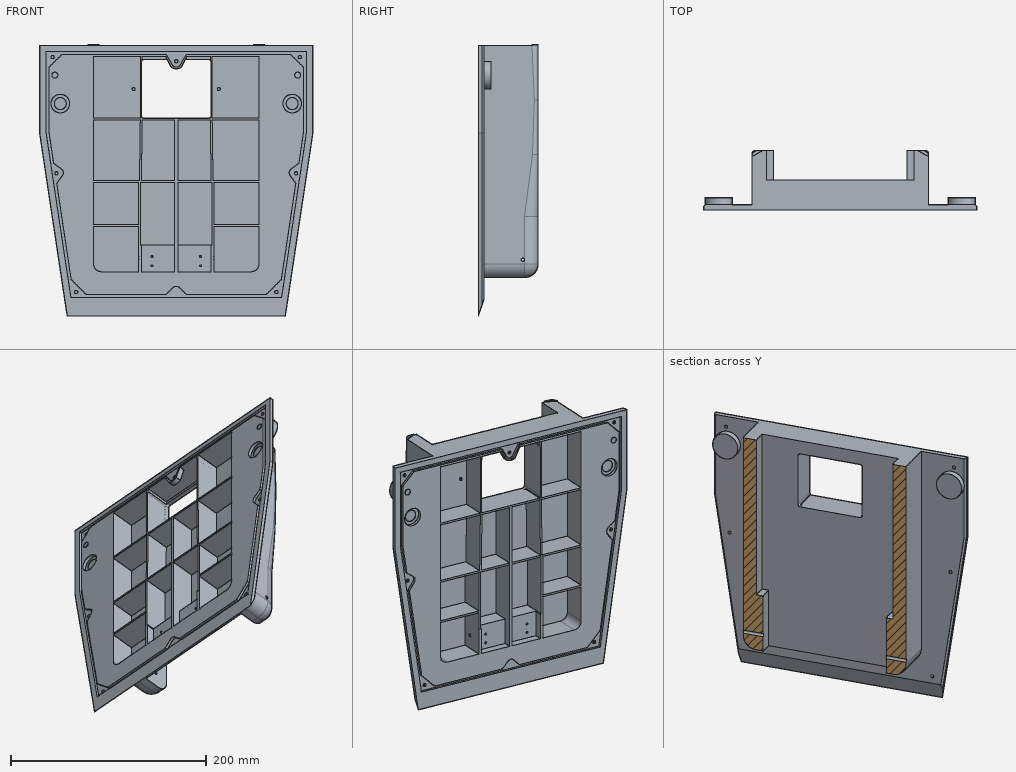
import cadquery as cq
import math


PLATE_WIDTH = 280
PLATE_HEIGHT = 277.2
PLATE_BOTTOM_WIDTH = 223.5
PLATE_THICKNESS = 6.0
PLATE_KNEE_Z = -89.5
SIDE_SLOPE = (PLATE_WIDTH - PLATE_BOTTOM_WIDTH) / 2 / (PLATE_HEIGHT + PLATE_KNEE_Z)
SIDE_CHAMFER = 2.0
BOTTOM_BEVEL_HEIGHT = 17.0

GROOVE_DEPTH = 2.8
GROOVE_WIDTH = 3.0
GROOVE_INSET = 6.7
GROOVE_TOP_Z = -6.2
GROOVE_BOTTOM_Z = -258.2

PANEL_TOP_Z = GROOVE_TOP_Z - GROOVE_WIDTH
PANEL_BOTTOM_Z = GROOVE_BOTTOM_Z + GROOVE_WIDTH
PANEL_INSET = GROOVE_INSET + GROOVE_WIDTH
TOP_CORNER_CUT = 13.2
BOTTOM_CORNER_CUT = 15.5

BAY_MOUTH_WIDTH = 20.7
BAY_TIP_WIDTH = 7.3
BAY_TIP_RISE = 1.7
BAY_LENGTH = 8.5
TOP_BAY_LENGTH = 13.2
TOP_BAY_WALL = 1.7
SIDE_BAY_Z = -131.0

BODY_WIDTH = 181.2
BODY_DEPTH = 61.3
BODY_BOTTOM_Z = -237.7
BODY_CORNER_RADIUS = 14
WIDE_ARM_TOP_Z = -175.0
NUB_HEIGHT = 0.8
NUB_WIDTH = 11.5
NUB_DEPTH = 6.5
ARM_ROUNDING = [(NUB_HEIGHT, 6.5), (-56, 4.0), (-112, 6.0), (WIDE_ARM_TOP_Z, BODY_CORNER_RADIUS)]
RECESS_FLOOR_Y = 31.0
UPPER_RECESS_WIDTH = 151.2
LOWER_RECESS_WIDTH = 136.5

POCKET_WALL = 6.0
POCKET_WIDTH = BODY_WIDTH - 2 * POCKET_WALL
POCKET_TOP_Z = -11.5
POCKET_BOTTOM_Z = BODY_BOTTOM_Z + POCKET_WALL
POCKET_FLOOR_Y = 26.5
POCKET_CORNER_RADIUS = BODY_CORNER_RADIUS - POCKET_WALL

RIB = 2.0
CENTER_RIB = 3.0
SHELF_Z = -74.5
MIDDLE_RIB_Z = -138.5
SIDE_RIB_Z = -183.7
UPPER_RIB_X = 35.8
MIDDLE_RIB_X = 36.7
LOWER_RIB_X = 37.5

BLOCK_TOP_Z = -204.5
BLOCK_SETBACK = 8.7
BLOCK_CHEEK_X = 35.5

WINDOW_WIDTH = 71.0
WINDOW_TOP_Z = -14.5
WINDOW_RADIUS = 2.5

BOSS_DIAMETER = 28
BOSS_BACK_Y = 13.0
BOSS_X, BOSS_Z = 124.3, -30.5
DIMPLE_DIAMETER = 6.2
DIMPLE_DEPTH = 0.5
SEAT_X, SEAT_Z = 118.7, -59.5
SEAT_DIAMETER = 19.0
SEAT_DEPTH = 3.5
SEAT_CENTER_DIAMETER = 12.3
SEAT_CENTER_DEPTH = 0.5
SCREW_DIAMETER = 3.5
SCREW_DEPTH = 2.2
BLOCK_HOLE_DIAMETER = 2.0
BLOCK_HOLE_DEPTH = 5.5
BLOCK_HOLE_X = 25.0
BLOCK_HOLE_LEVELS = (-216.2, -225.7)
SMALL_HOLE_DIAMETER = 3.0
CELL_HOLE_X, CELL_HOLE_Z = 43.7, -44.8
CELL_HOLE_DEPTH = 1.5
RIB_HOLE_Y, RIB_HOLE_Z = 18.0, -217.5
RIB_HOLE_DEPTH = 2.8
CROSS_HOLE_Y, CROSS_HOLE_Z = 45.5, -219.5
SCREW_PLACES = [(126.5, -12.0), (102.5, -252.5), (122.5, SIDE_BAY_Z), (0, -16.2)]


def prism(points, front, back):
    """Closed XZ outline extruded from Y = front to Y = back."""
    return cq.Workplane("XZ", origin=(0, front, 0)).polyline(points).close().extrude(front - back)


def block(left, right, bottom, top, front, back):
    """Box given by its limits along X, Z and Y."""
    return prism([(left, bottom), (right, bottom), (right, top), (left, top)], front, back)


def pin(x, z, diameter, front, back):
    """Cylinder along Y."""
    return cq.Workplane("XZ", origin=(x, front, z)).circle(diameter / 2).extrude(front - back)


def both_sides(solid):
    """The solid together with its mirror image across X = 0."""
    return solid.union(solid.mirror("YZ"))


def half_width(z):
    """Half the plate width at a level."""
    return PLATE_WIDTH / 2 - SIDE_SLOPE * max(0, PLATE_KNEE_Z - z)


def symmetric(right_side):
    """Complete an outline from its right-hand points."""
    return right_side + [(-x, z) for x, z in reversed(right_side)]


def plate_outline(inset, top, bottom):
    """Plate shape between two levels, with its sides moved inward."""
    levels = (top, PLATE_KNEE_Z, bottom)
    return symmetric([(half_width(z) - inset, z) for z in levels])


def make_plate():
    chamfer_start = PLATE_THICKNESS - SIDE_CHAMFER
    rim = plate_outline(0, 0, -PLATE_HEIGHT)
    back = plate_outline(SIDE_CHAMFER, 0, -PLATE_HEIGHT)
    chamfered_part = (
        cq.Workplane("XZ", origin=(0, chamfer_start, 0)).polyline(rim).close()
        .workplane(offset=-SIDE_CHAMFER).polyline(back).close().loft(ruled=True)
    )
    plate = prism(rim, 0, chamfer_start).union(chamfered_part)
    bevel = (
        cq.Workplane("YZ", origin=(-PLATE_WIDTH / 2, 0, 0))
        .polyline([
            (0, -PLATE_HEIGHT),
            (PLATE_THICKNESS, BOTTOM_BEVEL_HEIGHT - PLATE_HEIGHT),
            (PLATE_THICKNESS, -PLATE_HEIGHT),
        ])
        .close().extrude(PLATE_WIDTH)
    )
    return plate.cut(bevel)


def bay(x, z, angle, length, border, front, back):
    """Round-nosed bay pointing up from (x, z), turned by angle about Y."""
    mouth = BAY_MOUTH_WIDTH / 2 + border
    tip = BAY_TIP_WIDTH / 2 + border
    shoulder = length - BAY_TIP_RISE
    return (
        cq.Workplane("XZ", origin=(0, front, 0))
        .moveTo(-mouth, -GROOVE_WIDTH / 2).lineTo(-mouth, 0).lineTo(-tip, shoulder)
        .threePointArc((0, length), (tip, shoulder))
        .lineTo(mouth, 0).lineTo(mouth, -GROOVE_WIDTH / 2).close()
        .extrude(front - back)
        .rotate((0, 0, 0), (0, 1, 0), angle)
        .translate((x, 0, z))
    )


def make_groove():
    """Everything between the border of the plate and the panel inside it."""
    groove = prism(plate_outline(GROOVE_INSET, GROOVE_TOP_Z, GROOVE_BOTTOM_Z), 0, GROOVE_DEPTH)
    top_side = half_width(0) - PANEL_INSET
    low_corner_z = PANEL_BOTTOM_Z + BOTTOM_CORNER_CUT
    low_side = half_width(low_corner_z) - PANEL_INSET
    panel_outline = symmetric([
        (top_side - TOP_CORNER_CUT, PANEL_TOP_Z),
        (top_side, PANEL_TOP_Z - TOP_CORNER_CUT),
        (top_side, PLATE_KNEE_Z),
        (low_side, low_corner_z),
        (low_side - BOTTOM_CORNER_CUT, PANEL_BOTTOM_Z),
    ])
    side_x = half_width(SIDE_BAY_Z) - PANEL_INSET
    lean = math.degrees(math.atan(SIDE_SLOPE))
    return (
        groove.cut(prism(panel_outline, 0, GROOVE_DEPTH))
        .union(bay(0, PANEL_TOP_Z, 180, TOP_BAY_LENGTH, 0, 0, GROOVE_DEPTH))
        .union(bay(0, PANEL_BOTTOM_Z, 0, BAY_LENGTH, 0, 0, GROOVE_DEPTH))
        .union(both_sides(bay(side_x, SIDE_BAY_Z, lean - 90, BAY_LENGTH, 0, 0, GROOVE_DEPTH)))
    )


def make_body():
    half = BODY_WIDTH / 2
    lower = block(-half, half, BODY_BOTTOM_Z, WIDE_ARM_TOP_Z, 0, BODY_DEPTH)
    lower = lower.edges("|Y and <Z").fillet(BODY_CORNER_RADIUS)
    lower = lower.faces(">Y").edges("not >Z").fillet(BODY_CORNER_RADIUS)
    upper = block(-half, half, WIDE_ARM_TOP_Z, 0, 0, BODY_DEPTH)
    nub = (
        cq.Workplane("XY")
        .polyline([(half, BODY_DEPTH - NUB_DEPTH), (half, BODY_DEPTH), (half - NUB_WIDTH, BODY_DEPTH)])
        .close().extrude(NUB_HEIGHT)
    )
    upper = upper.union(both_sides(nub))
    for (top, top_radius), (bottom, bottom_radius) in zip(ARM_ROUNDING, ARM_ROUNDING[1:]):
        upper = upper.cut(both_sides(edge_rounding(top, top_radius, bottom, bottom_radius)))
    recess = block(-LOWER_RECESS_WIDTH / 2, LOWER_RECESS_WIDTH / 2, BODY_BOTTOM_Z, 0,
                   RECESS_FLOOR_Y, BODY_DEPTH)
    upper_recess = block(-UPPER_RECESS_WIDTH / 2, UPPER_RECESS_WIDTH / 2, WIDE_ARM_TOP_Z, 0,
                         RECESS_FLOOR_Y, BODY_DEPTH)
    return lower.union(upper).cut(recess).cut(upper_recess)


def edge_rounding(top, top_radius, bottom, bottom_radius):
    """Material to remove so that an arm edge is rounded with a changing radius."""
    half = BODY_WIDTH / 2
    diagonal = 1 - math.sqrt(0.5)

    def corner(sketch, radius):
        return (
            sketch.moveTo(half, BODY_DEPTH - radius)
            .threePointArc((half - diagonal * radius, BODY_DEPTH - diagonal * radius),
                           (half - radius, BODY_DEPTH))
            .lineTo(half, BODY_DEPTH).close()
        )

    low = corner(cq.Workplane("XY", origin=(0, 0, bottom)), bottom_radius)
    return corner(low.workplane(offset=top - bottom), top_radius).loft(ruled=True)


def make_pocket():
    half = POCKET_WIDTH / 2
    pocket = block(-half, half, POCKET_BOTTOM_Z, POCKET_TOP_Z, 0, POCKET_FLOOR_Y)
    return pocket.edges("|Y and <Z").fillet(POCKET_CORNER_RADIUS)


def upright_rib(top_x, bottom_x, top, bottom):
    """Upright side rib, leaning when its two ends differ in X."""
    half = RIB / 2
    points = [(top_x - half, top), (top_x + half, top),
              (bottom_x + half, bottom), (bottom_x - half, bottom)]
    return both_sides(prism(points, 0, POCKET_FLOOR_Y))


def make_ribs():
    limits = (0, POCKET_FLOOR_Y)
    half = POCKET_WIDTH / 2
    ribs = upright_rib(UPPER_RIB_X, UPPER_RIB_X, POCKET_TOP_Z, SHELF_Z - RIB)
    ribs = ribs.union(upright_rib(UPPER_RIB_X, MIDDLE_RIB_X, SHELF_Z - RIB, MIDDLE_RIB_Z))
    ribs = ribs.union(upright_rib(LOWER_RIB_X, LOWER_RIB_X, MIDDLE_RIB_Z, POCKET_BOTTOM_Z))
    for z in (SHELF_Z, MIDDLE_RIB_Z):
        ribs = ribs.union(block(-half, half, z - RIB, z, *limits))
    ribs = ribs.union(both_sides(block(LOWER_RIB_X, half, SIDE_RIB_Z - RIB, SIDE_RIB_Z, *limits)))
    ribs = ribs.union(block(-CENTER_RIB / 2, CENTER_RIB / 2, POCKET_BOTTOM_Z, SHELF_Z, *limits))
    foot = block(-LOWER_RIB_X, LOWER_RIB_X, POCKET_BOTTOM_Z, BLOCK_TOP_Z,
                 BLOCK_SETBACK, POCKET_FLOOR_Y)
    cheek = block(BLOCK_CHEEK_X, LOWER_RIB_X, POCKET_BOTTOM_Z, BLOCK_TOP_Z, *limits)
    return ribs.union(foot).union(both_sides(cheek))


def make_window():
    window = block(-WINDOW_WIDTH / 2, WINDOW_WIDTH / 2, SHELF_Z, WINDOW_TOP_Z,
                   0, RECESS_FLOOR_Y)
    return window.edges("|Y").fillet(WINDOW_RADIUS)


def side_pin(start, y, z, length):
    """Small cylinder along X."""
    plane = cq.Workplane("YZ", origin=(start, y, z))
    return plane.circle(SMALL_HOLE_DIAMETER / 2).extrude(length)


def make_holes():
    """Holes of the right half, mirrored to the left."""
    pins = [
        pin(SEAT_X, SEAT_Z, SEAT_DIAMETER, 0, SEAT_DEPTH),
        pin(SEAT_X, SEAT_Z, SEAT_CENTER_DIAMETER, SEAT_DEPTH, SEAT_DEPTH + SEAT_CENTER_DEPTH),
        pin(BOSS_X, BOSS_Z, DIMPLE_DIAMETER, 0, DIMPLE_DEPTH),
        pin(CELL_HOLE_X, CELL_HOLE_Z, SMALL_HOLE_DIAMETER,
            POCKET_FLOOR_Y, POCKET_FLOOR_Y + CELL_HOLE_DEPTH),
        side_pin(LOWER_RIB_X + RIB / 2 - RIB_HOLE_DEPTH, RIB_HOLE_Y, RIB_HOLE_Z, RIB_HOLE_DEPTH),
        side_pin(0, CROSS_HOLE_Y, CROSS_HOLE_Z, BODY_WIDTH / 2),
    ]
    for x, z in SCREW_PLACES:
        pins.append(pin(x, z, SCREW_DIAMETER, GROOVE_DEPTH, GROOVE_DEPTH + SCREW_DEPTH))
    for z in BLOCK_HOLE_LEVELS:
        pins.append(pin(BLOCK_HOLE_X, z, BLOCK_HOLE_DIAMETER,
                        BLOCK_SETBACK, BLOCK_SETBACK + BLOCK_HOLE_DEPTH))
    holes = cq.Workplane("XY")
    for one in pins:
        holes = holes.add(both_sides(one))
    return holes.combine()


bosses = both_sides(pin(BOSS_X, BOSS_Z, BOSS_DIAMETER, GROOVE_DEPTH, BOSS_BACK_Y))
top_bay_shell = bay(0, PANEL_TOP_Z, 180, TOP_BAY_LENGTH + TOP_BAY_WALL, TOP_BAY_WALL,
                    0, PLATE_THICKNESS)

result = (
    make_plate()
    .union(make_body())
    .cut(make_pocket())
    .union(make_ribs())
    .cut(make_window())
    .union(bosses)
    .union(top_bay_shell)
    .cut(make_groove())
    .cut(make_holes())
)